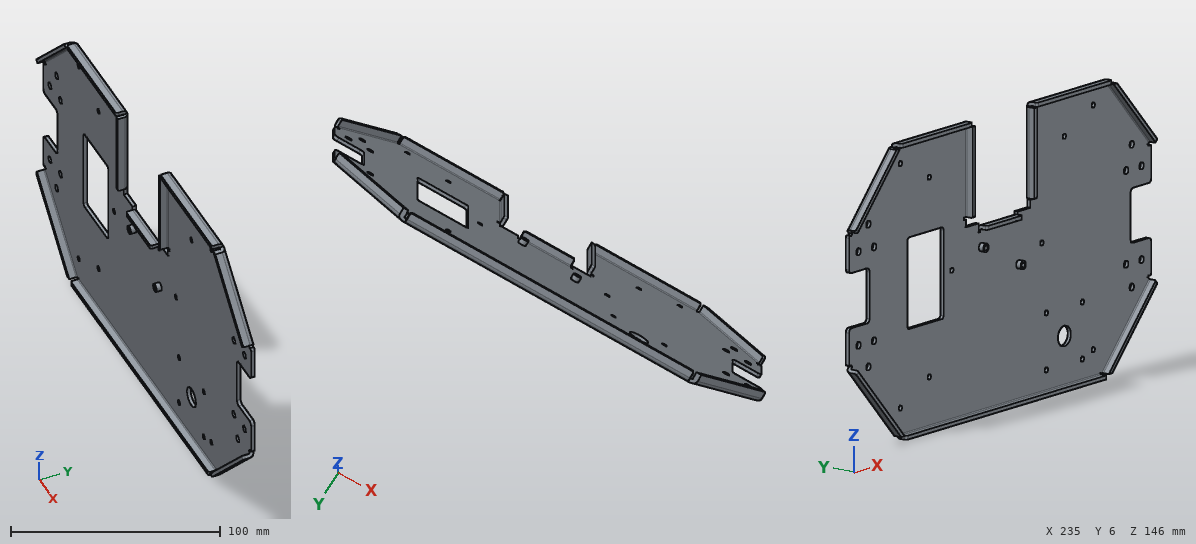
import cadquery as cq
import math

sheet = 2.0
bend_inner = 0.5
bend_outer = sheet + bend_inner
flange_height = 6.0
flange_corner_radius = 1.0
tolerance = 0.1
overhang = 5.0

half_width = 117.5
side_half_height = 35.0
bottom_half_width = 80.0
half_height = 75.0
top_z = 71.0
slope = (half_width - bottom_half_width) / (half_height - side_half_height)
top_half_width = half_width - (top_z - side_half_height) * slope

bottom_flange_half_length = 78.0
top_flange_outer_end = 82.0
trim_depth = 2.2

relief_width = 1.2
relief_depth = bend_outer + 1.0
relief_corner_radius = 1.0
corner_clearance = 4.0

notch_center_x = -1.5
notch_half_width = 25.0
notch_floor_z = 19.0
wall_half_width = 23.0
wall_flange_bottom = 24.0
tab_half_length = 13.9
tab_z = 18.0

side_notch_depth = 16.0
side_notch_height = 27.0
side_corner_radius = 2.0

window_center = (-58.0, 0.0)
window_size = (28.0, 45.0)
window_corner_radius = 1.5
cable_hole_center = (50.0, -49.0)
cable_hole_diameter = 10.0
motor_hole_pitch = 28.0
small_hole_diameter = 2.5
bracket_hole_diameter = 3.4
bracket_holes = [(102.4, 35.0), (98.0, 23.0), (110.0, 23.0)]
board_center_x = -2.5
board_holes = [(75.0, 60.0), (75.0, -60.0), (52.5, 49.0), (52.5, -49.0), (35.0, 0.0)]

standoff_centers = [(-14.5, 7.0), (14.5, -7.0)]
standoff_diameter = 4.2
standoff_bore = 2.4
standoff_height = 2.7


def front_sketch():
    """Workplane on the back of the plate; extrusion runs forward, along -Y."""
    return cq.Workplane("XZ")


def edge_vectors(start, end):
    """Length, direction and inward normal of an outline edge with the material on its left."""
    dx = end[0] - start[0]
    dz = end[1] - start[1]
    length = math.hypot(dx, dz)
    along = cq.Vector(dx / length, 0, dz / length)
    inward = cq.Vector(-dz / length, 0, dx / length)
    return length, along, inward


def flange(start, end):
    """Bent flange whose outer face follows the edge from start to end."""
    length, along, inward = edge_vectors(start, end)
    plane = cq.Plane(origin=(start[0], 0, start[1]), xDir=inward, normal=along)
    corner = math.sqrt(0.5)
    outer_mid = bend_outer * (1 - corner)
    inner_mid = bend_outer - bend_inner * corner
    body = (
        cq.Workplane(plane)
        .moveTo(relief_depth, 0)
        .lineTo(bend_outer, 0)
        .threePointArc((outer_mid, outer_mid), (0, bend_outer))
        .lineTo(0, flange_height)
        .lineTo(sheet, flange_height)
        .lineTo(sheet, bend_outer)
        .threePointArc((inner_mid, inner_mid), (bend_outer, sheet))
        .lineTo(relief_depth, sheet)
        .close()
        .extrude(length)
    )
    free_corners = cq.selectors.ParallelDirSelector(inward)
    return body.faces("<Y").edges(free_corners).fillet(flange_corner_radius)


def edge_strip(start, end, before, after, depth):
    """Cutter along an edge, reaching depth inward and running past both ends."""
    length, along, inward = edge_vectors(start, end)
    plane = cq.Plane(origin=(start[0], 0, start[1]), xDir=along, normal=(0, -1, 0))
    return (
        cq.Workplane(plane)
        .moveTo(-before, -overhang)
        .lineTo(length + after, -overhang)
        .lineTo(length + after, depth)
        .lineTo(-before, depth)
        .close()
        .extrude(sheet)
    )


def holes(centers, diameter):
    return front_sketch().pushPoints(centers).circle(diameter / 2).extrude(sheet)


def mirrored(point):
    """The four images of a point under sign changes of X and Z."""
    return [(sx * point[0], sz * point[1]) for sx in (1, -1) for sz in (1, -1)]


def diagonal_end(side, level):
    """Point past the end of a diagonal edge, where its line reaches overhang beyond height level."""
    z = abs(level) + overhang
    x = half_width - (z - side_half_height) * slope
    return (side * x, math.copysign(z, level))


def level_edges():
    """Edges parallel to X as (start, end, slot at start, slot at end), counter-clockwise."""
    notch_left = notch_center_x - notch_half_width
    notch_right = notch_center_x + notch_half_width
    tab_left = notch_center_x - tab_half_length
    tab_right = notch_center_x + tab_half_length
    bottom_end = bottom_flange_half_length
    return [
        ((-bottom_end, -half_height), (bottom_end, -half_height), False, False),
        ((top_flange_outer_end, top_z), (notch_right, top_z), False, False),
        ((tab_right, tab_z), (tab_left, tab_z), True, True),
        ((notch_left, top_z), (-top_flange_outer_end, top_z), False, False),
    ]


def trimmed_edges():
    """Diagonal and notch wall edges, run long so that their flanges can be trimmed level."""
    left_wall = notch_center_x - wall_half_width
    right_wall = notch_center_x + wall_half_width
    wall_top = top_z + overhang
    return [
        (diagonal_end(1, -half_height), (half_width, -side_half_height), False, True),
        ((half_width, side_half_height), diagonal_end(1, top_z), True, False),
        ((right_wall, wall_top), (right_wall, wall_flange_bottom), False, True),
        ((left_wall, wall_flange_bottom), (left_wall, wall_top), True, False),
        (diagonal_end(-1, top_z), (-half_width, side_half_height), False, True),
        ((-half_width, -side_half_height), diagonal_end(-1, -half_height), True, False),
    ]


def plate_blank():
    """Octagon with the top notch and the two side notches."""
    right_half = [
        (bottom_half_width, -half_height),
        (half_width, -side_half_height),
        (half_width, side_half_height),
        (top_half_width, top_z),
    ]
    left_half = [(-x, z) for x, z in reversed(right_half)]
    blank = front_sketch().polyline(right_half + left_half).close().extrude(sheet)
    notch_top = top_z + overhang
    top_notch = (
        front_sketch()
        .center(notch_center_x, (notch_floor_z + notch_top) / 2)
        .rect(2 * notch_half_width, notch_top - notch_floor_z)
        .extrude(sheet)
    )
    side_notches = (
        front_sketch()
        .pushPoints([(half_width, 0), (-half_width, 0)])
        .rect(2 * side_notch_depth, side_notch_height)
        .extrude(sheet)
        .edges("|Y")
        .fillet(side_corner_radius)
    )
    return blank.cut(top_notch).cut(side_notches)


def cut_bend_edges(plate):
    """Clear the bends, with a relief slot beside each flange end that needs one."""
    for start, end, slot_start, slot_end in level_edges() + trimmed_edges():
        before = relief_width if slot_start else 0
        after = relief_width if slot_end else 0
        plate = plate.cut(edge_strip(start, end, before, after, relief_depth))
        before = relief_width if slot_start else corner_clearance
        after = relief_width if slot_end else corner_clearance
        plate = plate.cut(edge_strip(start, end, before, after, bend_outer))
    return plate


def add_flanges(plate):
    trim_top = top_z - trim_depth
    trim_bottom = trim_depth - half_height
    keep = (
        front_sketch()
        .center(0, (trim_top + trim_bottom) / 2)
        .rect(2 * half_width, trim_top - trim_bottom)
        .extrude(flange_height)
    )
    for start, end, _, _ in level_edges():
        plate = plate.union(flange(start, end))
    for start, end, _, _ in trimmed_edges():
        plate = plate.union(flange(start, end).intersect(keep))
    return plate


def round_side_corners(plate):
    """Round the tab corners at the side notches and the sharper ones beside the bend reliefs."""
    notch_half = side_notch_height / 2
    middle = (notch_half + side_half_height) / 2
    for side in (1, -1):
        for low, high, radius in [
            (-middle, middle, side_corner_radius),
            (middle, side_half_height, relief_corner_radius),
            (-side_half_height, -middle, relief_corner_radius),
        ]:
            corners = cq.selectors.BoxSelector(
                (side * half_width - tolerance, -overhang, low),
                (side * half_width + tolerance, overhang, high),
            )
            plate = plate.edges("|Y").edges(corners).fillet(radius)
    return plate


def cut_openings(plate):
    window = (
        front_sketch()
        .center(*window_center)
        .rect(*window_size)
        .extrude(sheet)
        .edges("|Y")
        .fillet(window_corner_radius)
    )
    half_pitch = motor_hole_pitch / 2
    motor = [
        (cable_hole_center[0] + x, cable_hole_center[1] + z) for x, z in mirrored((half_pitch, half_pitch))
    ]
    board = [(board_center_x + side * x, z) for x, z in board_holes for side in (1, -1)]
    bracket = [image for point in bracket_holes for image in mirrored(point)]
    plate = plate.cut(window)
    plate = plate.cut(holes([cable_hole_center], cable_hole_diameter))
    plate = plate.cut(holes(motor + board, small_hole_diameter))
    return plate.cut(holes(bracket, bracket_hole_diameter))


def add_standoffs(plate):
    top = sheet + standoff_height
    posts = front_sketch().pushPoints(standoff_centers).circle(standoff_diameter / 2).extrude(top)
    bores = front_sketch().pushPoints(standoff_centers).circle(standoff_bore / 2).extrude(top)
    return plate.union(posts).cut(bores)


part = round_side_corners(cut_bend_edges(plate_blank()))
part = add_flanges(part)
part = cut_openings(part)
result = add_standoffs(part)